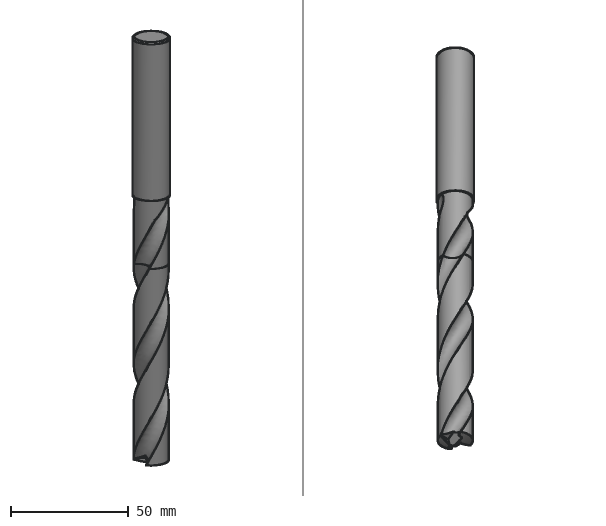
import cadquery as cq
import math

total_length = 193
shank_diameter = 16.0
drill_diameter = 14.95
shoulder_height = 121.8
joint_height = 91.0
end_chamfer = 0.8
point_angle = 140

shank_radius = shank_diameter / 2
drill_radius = drill_diameter / 2
point_height = drill_radius / math.tan(math.radians(point_angle / 2))

flute_count = 2
flute_lead = 85.9
core_radius = 3.3
flute_half_angle = 36
flute_top = 112.7
runout_turn = 40
flute_zero_height = 19.5

flute_edge_radial = drill_radius * math.cos(math.radians(flute_half_angle))
flute_half_width = drill_radius * math.sin(math.radians(flute_half_angle))
flute_depth = flute_edge_radial - core_radius
flute_arc_radius = (flute_half_width**2 + flute_depth**2) / (2 * flute_depth)
flute_center_radius = core_radius + flute_arc_radius

gash_left = -2.3
gash_left_height = 3.0
gash_peak = 3.0
gash_height = 6.4
gash_right = 5.2
chisel_half_width = 0.4
gash_outer_offset = 3.5


def flute_angle(height):
    """Direction, in degrees from +X, that the first flute faces at a height."""
    return 360 * (height - flute_zero_height) / flute_lead


def flute_section(height, angle):
    """Horizontal circle that cuts one flute facing the given angle."""
    return (
        cq.Workplane("XY", origin=(0, 0, height))
        .transformed(rotate=(0, 0, angle))
        .pushPoints([(flute_center_radius, 0)])
        .circle(flute_arc_radius)
    )


def make_helical_flute(phase):
    """Twisted cutter from the tip up to the start of the runout."""
    start_angle = flute_angle(0) + phase
    turn = flute_angle(flute_top) - flute_angle(0)
    return flute_section(0, start_angle).twistExtrude(flute_top, turn)


def make_flute_runout(phase):
    """Straight oblique cut that just leaves the drill surface at the shoulder."""
    angle = flute_angle(flute_top) + phase
    exit_angle = math.radians(angle + runout_turn)
    start_angle = math.radians(angle)
    exit_radius = drill_radius + flute_arc_radius
    path = cq.Vector(
        exit_radius * math.cos(exit_angle) - flute_center_radius * math.cos(start_angle),
        exit_radius * math.sin(exit_angle) - flute_center_radius * math.sin(start_angle),
        shoulder_height - flute_top,
    )
    wire = flute_section(flute_top, angle).wires().val()
    return cq.Workplane(cq.Solid.extrudeLinear(wire, [], path))


def make_web_gash(phase):
    """Notch that thins the web at the point, with a wall sloping out to the flute."""
    outline = (
        cq.Workplane("XZ")
        .moveTo(gash_left, 0)
        .lineTo(gash_left, gash_left_height)
        .lineTo(gash_peak, gash_height)
        .lineTo(gash_right, 0)
        .close()
        .extrude(drill_radius)
    )
    sloped_side = (
        cq.Workplane("YZ", origin=(gash_left, 0, 0))
        .moveTo(-chisel_half_width, 0)
        .lineTo(-gash_outer_offset, gash_height)
        .lineTo(-drill_radius, gash_height)
        .lineTo(-drill_radius, 0)
        .close()
        .extrude(gash_right - gash_left)
    )
    return outline.intersect(sloped_side).rotate((0, 0, 0), (0, 0, 1), phase)


def cut_at_each_flute(body, make_cutter):
    """Repeat a cut at equal steps around the axis."""
    for index in range(flute_count):
        body = body.cut(make_cutter(index * 360 / flute_count))
    return body


def make_holder():
    """Chamfered shank with the upper, fluted neck below it."""
    blank = (
        cq.Workplane("YZ")
        .moveTo(0, joint_height)
        .lineTo(-drill_radius, joint_height)
        .lineTo(-drill_radius, shoulder_height)
        .lineTo(-shank_radius, shoulder_height)
        .lineTo(-shank_radius, total_length - end_chamfer)
        .lineTo(-shank_radius + end_chamfer, total_length)
        .lineTo(0, total_length)
        .close()
        .revolve(360, (0, 0), (0, 1))
    )
    return cut_at_each_flute(cut_at_each_flute(blank, make_helical_flute), make_flute_runout)


def make_bit():
    """Fluted cutting bit with a conical, web-thinned point."""
    blank = (
        cq.Workplane("XZ")
        .lineTo(-drill_radius, point_height)
        .lineTo(-drill_radius, joint_height)
        .lineTo(0, joint_height)
        .close()
        .revolve(360, (0, 0), (0, 1))
    )
    return cut_at_each_flute(cut_at_each_flute(blank, make_helical_flute), make_web_gash)


holder = make_holder()
bit = make_bit()
result = cq.Compound.makeCompound([holder.val(), bit.val()])